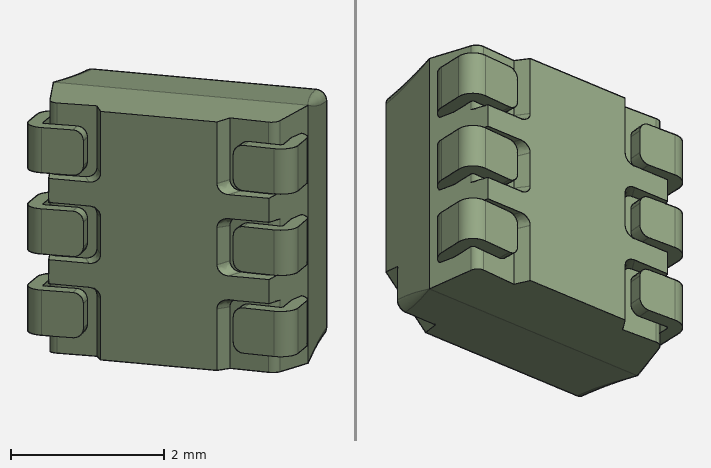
import cadquery as cq
import math

HOUSING_SIZE = 3.5
BACK_DEPTH = 0.985
FRONT_DEPTH = 0.915
DRAFT = 4.0
LEAD_WALL_DRAFT = 14.5
BACK_CORNER_RADIUS = 0.148
BACK_SECTIONS = 4
SHARP_CORNER_RADIUS = 0.002

MARK_DEPTH = 0.26
MARK_SIZE = 0.67
MARK_DRAFT = 10.0

SPAN = 3.7
LEAD_PITCH = 1.103
LEAD_WIDTH = 0.615
LEAD_THICKNESS = 0.2
BEND_RADIUS = 0.24
LEAD_BACK_Y = -0.135
LEAD_FRONT_Y = -0.965
FOOT_TIP_X = 1.03
FOOT_SLOPE = 3.0
FOOT_CORNER_RADIUS = 0.14

POCKET_WIDTH = 0.777
POCKET_INNER_X = 0.8
POCKET_FLOOR_X = 0.915
POCKET_DEPTH = 0.192
POCKET_CORNER_RADIUS = 0.14
FLOOR_EDGE_RADIUS = 0.13

OVERSHOOT = 0.37

half_size = HOUSING_SIZE / 2
half_span = SPAN / 2
draft_slope = math.tan(math.radians(DRAFT))
lead_wall_slope = math.tan(math.radians(LEAD_WALL_DRAFT))
foot_angle = math.radians(FOOT_SLOPE)
pocket_wall_slope = (POCKET_FLOOR_X - POCKET_INNER_X) / POCKET_DEPTH
front_half_x = half_size - FRONT_DEPTH * lead_wall_slope
front_half_z = half_size - FRONT_DEPTH * draft_slope
back_half = half_size - BACK_DEPTH * draft_slope


def rectangle_wire(y, x_min, x_max, z_min, z_max):
    """Rectangle in the plane at the given Y."""
    corners = [(x_min, y, z_min), (x_max, y, z_min), (x_max, y, z_max), (x_min, y, z_max)]
    return cq.Wire.makePolygon([cq.Vector(*corner) for corner in corners], close=True)


def rounded_square_wire(y, half, radius):
    """Square with rounded corners, centred on the Y axis in the plane at the given Y."""
    square = rectangle_wire(y, -half, half, -half, half)
    return square.fillet2D(radius, square.Vertices())


def make_front_half():
    """Front of the housing: a plain frustum with steeper lead walls."""
    parting = rectangle_wire(0, -half_size, half_size, -half_size, half_size)
    face = rectangle_wire(-FRONT_DEPTH, -front_half_x, front_half_x, -front_half_z, front_half_z)
    return cq.Workplane(cq.Solid.makeLoft([parting, face], True))


def make_back_half():
    """Back of the housing: its corner radius grows from almost nothing to full size at the back face."""
    sections = []
    for level in range(BACK_SECTIONS + 1):
        rise = level / BACK_SECTIONS
        half = half_size + (back_half - half_size) * rise
        radius = max(SHARP_CORNER_RADIUS, BACK_CORNER_RADIUS * (1 - (1 - rise) ** 2))
        sections.append(rounded_square_wire(BACK_DEPTH * rise, half, radius))
    return cq.Workplane(cq.Solid.makeLoft(sections, False))


def make_mark_cutter():
    """Drafted 45-degree cut across the -X, -Z back corner, as a triangle shrinking with depth."""
    sections = []
    outer = -half_size - OVERSHOOT
    for depth in (0, MARK_DEPTH):
        size = MARK_SIZE - depth * math.sqrt(2) * math.tan(math.radians(MARK_DRAFT))
        reach = size - 2 * back_half - outer
        y = BACK_DEPTH - depth
        corners = [(outer, y, outer), (reach, y, outer), (outer, y, reach)]
        sections.append(cq.Wire.makePolygon([cq.Vector(*corner) for corner in corners], close=True))
    return cq.Workplane(cq.Solid.makeLoft(sections, True))


def make_floor_cutter():
    """Full-height bar on the +X side that cuts the pocket floor and the rounded edge to the lead wall."""
    outer_x = half_span + OVERSHOOT
    outer_y = -FRONT_DEPTH - OVERSHOOT
    floor_y = -FRONT_DEPTH + POCKET_DEPTH
    floor_slope = math.tan(foot_angle)
    edge_y = (floor_y - (half_size - POCKET_FLOOR_X) * floor_slope) / (1 + lead_wall_slope * floor_slope)
    edge_x = half_size + edge_y * lead_wall_slope
    edge_angle = math.radians(90 + LEAD_WALL_DRAFT - FOOT_SLOPE)
    setback = FLOOR_EDGE_RADIUS / math.tan(edge_angle / 2)
    wall_angle = math.radians(LEAD_WALL_DRAFT)
    floor_tangent = (edge_x - setback * math.cos(foot_angle), edge_y + setback * math.sin(foot_angle))
    wall_tangent = (edge_x + setback * math.sin(wall_angle), edge_y + setback * math.cos(wall_angle))
    return (
        cq.Workplane("XY")
        .moveTo(0, outer_y)
        .lineTo(0, floor_y + POCKET_FLOOR_X * floor_slope)
        .lineTo(*floor_tangent)
        .tangentArcPoint(wall_tangent, relative=False)
        .lineTo(outer_x, wall_tangent[1])
        .lineTo(outer_x, outer_y)
        .close()
        .extrude(half_size + OVERSHOOT, both=True)
    )


def make_pocket_cutter(z_min, z_max):
    """Pocket on the +X side between two Z limits at the lead face, with drafted walls.

    The walls start outside the lead face and run on past the floor before the floor cutter trims them.
    """
    sections = []
    for depth in (-POCKET_DEPTH / 4, 2 * POCKET_DEPTH):
        inset = depth * draft_slope
        inner_x = POCKET_INNER_X + depth * pocket_wall_slope
        outer_x = half_span + OVERSHOOT
        sections.append(rectangle_wire(depth - FRONT_DEPTH, inner_x, outer_x, z_min + inset, z_max - inset))
    walls = cq.Workplane(cq.Solid.makeLoft(sections, True))
    walls = walls.faces("<X").edges("not |Z").fillet(POCKET_CORNER_RADIUS)
    return walls.intersect(make_floor_cutter())


def make_housing():
    housing = make_front_half().union(make_back_half()).cut(make_mark_cutter())
    end = half_size + OVERSHOOT
    half_pocket = POCKET_WIDTH / 2
    pocket_limits = [
        (-end, -LEAD_PITCH + half_pocket),
        (-half_pocket, half_pocket),
        (LEAD_PITCH - half_pocket, end),
    ]
    for z_min, z_max in pocket_limits:
        pocket = make_pocket_cutter(z_min, z_max)
        housing = housing.cut(pocket).cut(pocket.mirror("YZ"))
    return housing


def make_lead(housing):
    """C-shaped strip on the +X side at Z = 0, its back arm ending flush on the lead wall."""
    inner_radius = BEND_RADIUS - LEAD_THICKNESS
    inner_x = half_span - LEAD_THICKNESS
    bend_x = half_span - BEND_RADIUS
    back_bend_y = LEAD_BACK_Y - BEND_RADIUS
    front_bend_y = LEAD_FRONT_Y + BEND_RADIUS
    sine = math.sin(foot_angle)
    cosine = math.cos(foot_angle)
    outer_end = (bend_x - BEND_RADIUS * sine, front_bend_y - BEND_RADIUS * cosine)
    inner_end = (bend_x - inner_radius * sine, front_bend_y - inner_radius * cosine)
    foot_length = (outer_end[0] - FOOT_TIP_X) / cosine
    outer_tip = (outer_end[0] - foot_length * cosine, outer_end[1] + foot_length * sine)
    inner_tip = (inner_end[0] - foot_length * cosine, inner_end[1] + foot_length * sine)
    strip = (
        cq.Workplane("XY")
        .moveTo(bend_x, LEAD_BACK_Y)
        .radiusArc((half_span, back_bend_y), BEND_RADIUS)
        .lineTo(half_span, front_bend_y)
        .radiusArc(outer_end, BEND_RADIUS)
        .lineTo(*outer_tip)
        .lineTo(*inner_tip)
        .lineTo(*inner_end)
        .radiusArc((inner_x, front_bend_y), -inner_radius)
        .lineTo(inner_x, back_bend_y)
        .radiusArc((bend_x, LEAD_BACK_Y - LEAD_THICKNESS), -inner_radius)
        .close()
        .extrude(LEAD_WIDTH / 2, both=True)
    )
    strip = strip.faces("<X").edges("not |Z").fillet(FOOT_CORNER_RADIUS)
    return strip.cut(housing)


housing = make_housing()
lead = make_lead(housing)
leads = []
for row in (-1, 0, 1):
    placed = lead.translate((0, 0, row * LEAD_PITCH))
    leads.extend(placed.solids().vals())
    leads.extend(placed.mirror("YZ").solids().vals())

result = cq.Compound.makeCompound([*housing.solids().vals(), *leads])